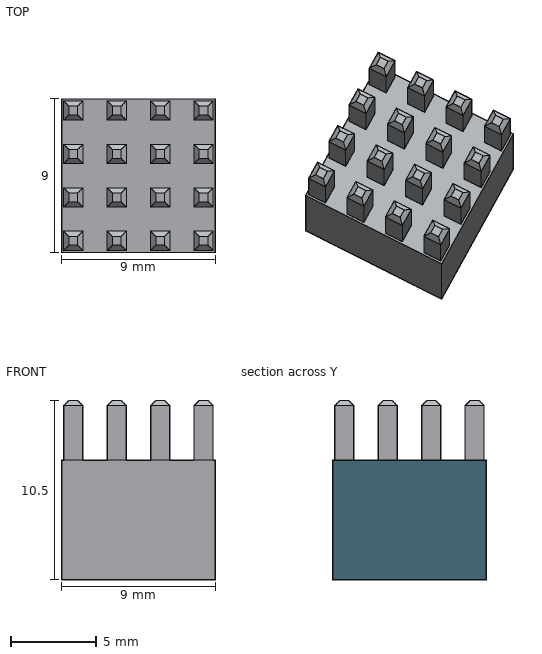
import cadquery as cq

block_side = 9.0
total_height = 10.5
block_height = 7.0

pins_per_side = 4
pin_pitch = 2.54
pin_side = 1.12
tip_chamfer = 0.3
pin_length = total_height - block_height


def make_block():
    """Square block with its underside at Z = 0."""
    return cq.Workplane("XY").box(block_side, block_side, block_height, centered=(True, True, False))


def make_pins():
    """Grid of upright square pins, each with a chamfered tip."""
    return (
        cq.Workplane("XY")
        .workplane(offset=block_height)
        .rarray(pin_pitch, pin_pitch, pins_per_side, pins_per_side)
        .rect(pin_side, pin_side)
        .extrude(pin_length)
        .faces(">Z")
        .chamfer(tip_chamfer)
    )


result = make_block().union(make_pins())